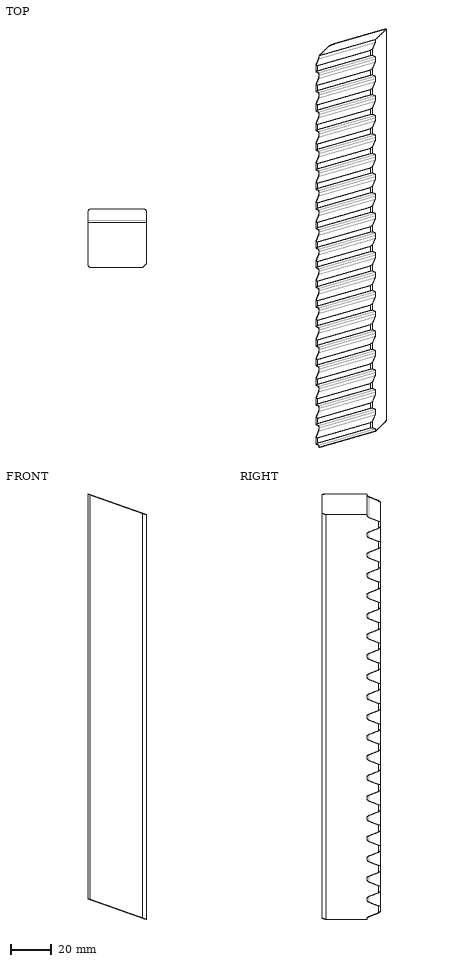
import cadquery as cq
import math

overall_length = 210.3
width = 29.0
height = 29.0
tooth_count = 20
helix_angle = 19.5
pressure_angle = 20.0
dedendum_factor = 1.25
root_radius = 1.4
edge_chamfer = 1.0
back_chamfer = 2.0

helix = math.radians(helix_angle)
end_drop = width * math.tan(helix)
rack_length = overall_length - end_drop
pitch = rack_length / tooth_count
normal_pitch = pitch * math.cos(helix)
module = normal_pitch / math.pi
addendum = module
dedendum = dedendum_factor * module

tip_y = height / 2
pitch_y = tip_y - addendum
root_y = pitch_y - dedendum
cut_clearance = 2.0
cutter_length = 2 * width


def make_blank():
    """Bar with sloping ends and chamfered long edges."""
    left = -width / 2
    right = width / 2
    top = overall_length / 2
    bar = (
        cq.Workplane("XZ")
        .polyline([
            (left, top),
            (right, top - end_drop),
            (right, -top),
            (left, -top + end_drop),
        ])
        .close()
        .extrude(height / 2, both=True)
    )
    bar = bar.edges("|Z and >X and <Y").chamfer(back_chamfer)
    return bar.edges("|Z and (<X or >Y)").chamfer(edge_chamfer)


def make_gap_cutter():
    """One tooth gap: a round-cornered trapezoid run along the tooth direction."""
    flank_slope = math.tan(math.radians(pressure_angle))
    half_root = normal_pitch / 4 - dedendum * flank_slope
    half_mouth = normal_pitch / 4 + (addendum + cut_clearance) * flank_slope
    mouth_y = tip_y + cut_clearance
    cutter = (
        cq.Workplane("YZ")
        .polyline([
            (root_y, -half_root),
            (mouth_y, -half_mouth),
            (mouth_y, half_mouth),
            (root_y, half_root),
        ])
        .close()
        .extrude(cutter_length / 2, both=True)
        .edges("|X and <Y")
        .fillet(root_radius)
    )
    return cutter.rotate((0, 0, 0), (0, 1, 0), helix_angle)


result = make_blank()
gap_cutter = make_gap_cutter()
for gap in range(tooth_count + 1):
    gap_z = gap * pitch - rack_length / 2
    result = result.cut(gap_cutter.translate((0, 0, gap_z)))